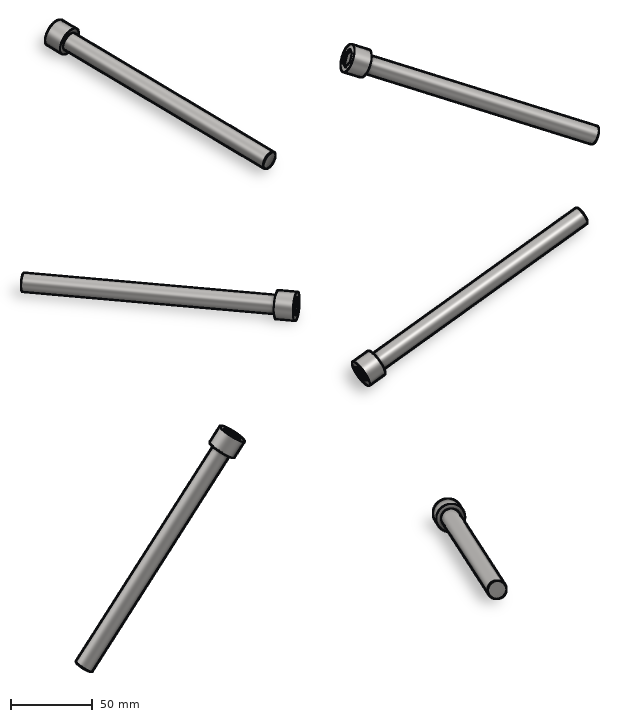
import cadquery as cq

total_length = 172.0
head_diameter = 18.0
head_length = 12.0
shank_diameter = 12.0
tip_chamfer = 0.3
socket_across_flats = 10.0
socket_depth = 1.4

corner_turn = 30.0
shank_length = total_length - head_length


def make_head():
    """Cylindrical head whose underside lies on the plane X = 0."""
    return cq.Workplane("YZ").circle(head_diameter / 2).extrude(-head_length)


def make_shank():
    """Plain shank with a small chamfer around its free end."""
    shank = cq.Workplane("YZ").circle(shank_diameter / 2).extrude(shank_length)
    return shank.faces(">X").chamfer(tip_chamfer)


def make_socket():
    """Shallow hexagonal recess with two corners along Y."""
    return (
        cq.Workplane("YZ", origin=(-head_length, 0, 0))
        .transformed(rotate=(0, 0, corner_turn))
        .polygon(6, socket_across_flats, circumscribed=True)
        .extrude(socket_depth)
    )


result = make_head().union(make_shank()).cut(make_socket())